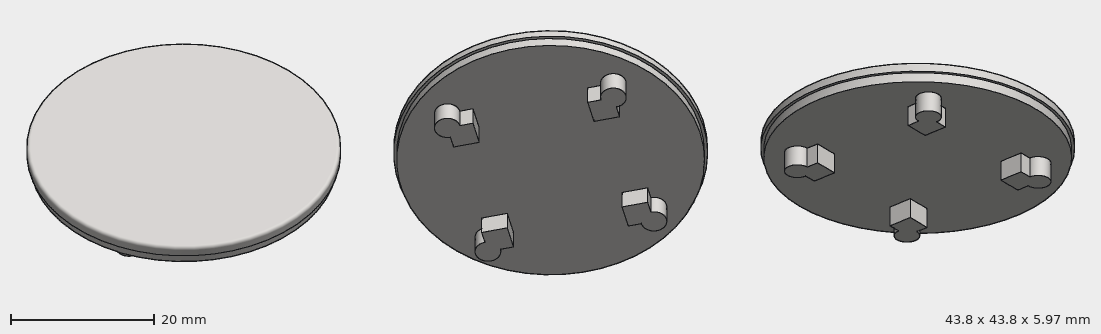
import cadquery as cq

cap_diameter = 43.8
cap_thickness = 1.5
rim_fillet = 0.53

base_diameter = 42.92
base_thickness = 1.45
foot_height = 3.02
foot_radius = 1.8
foot_offset = 11.9
block_side = 3.7

base_bottom = foot_height
base_top = base_bottom + base_thickness


def make_cap():
    """Disc resting on the base, its top edge rounded."""
    return (
        cq.Workplane("XY", origin=(0, 0, base_top))
        .circle(cap_diameter / 2)
        .extrude(cap_thickness)
        .faces(">Z")
        .edges()
        .fillet(rim_fillet)
    )


def make_foot(x_side, y_side):
    """Round post with a square block running from its centre toward the disc axis."""
    post_x = x_side * foot_offset
    post_y = y_side * foot_offset
    post = cq.Workplane("XY").center(post_x, post_y).circle(foot_radius).extrude(foot_height)
    block_x = x_side * (foot_offset - block_side / 2)
    block_y = y_side * (foot_offset - block_side / 2)
    block = cq.Workplane("XY").center(block_x, block_y).rect(block_side, block_side).extrude(foot_height)
    return post.union(block)


def make_base():
    """Lower disc with one foot in each quadrant."""
    base = (
        cq.Workplane("XY", origin=(0, 0, base_bottom))
        .circle(base_diameter / 2)
        .extrude(base_thickness)
    )
    for x_side in (-1, 1):
        for y_side in (-1, 1):
            base = base.union(make_foot(x_side, y_side))
    return base


cap = make_cap()
base = make_base()
result = cq.Compound.makeCompound([cap.val(), base.solids().val()])